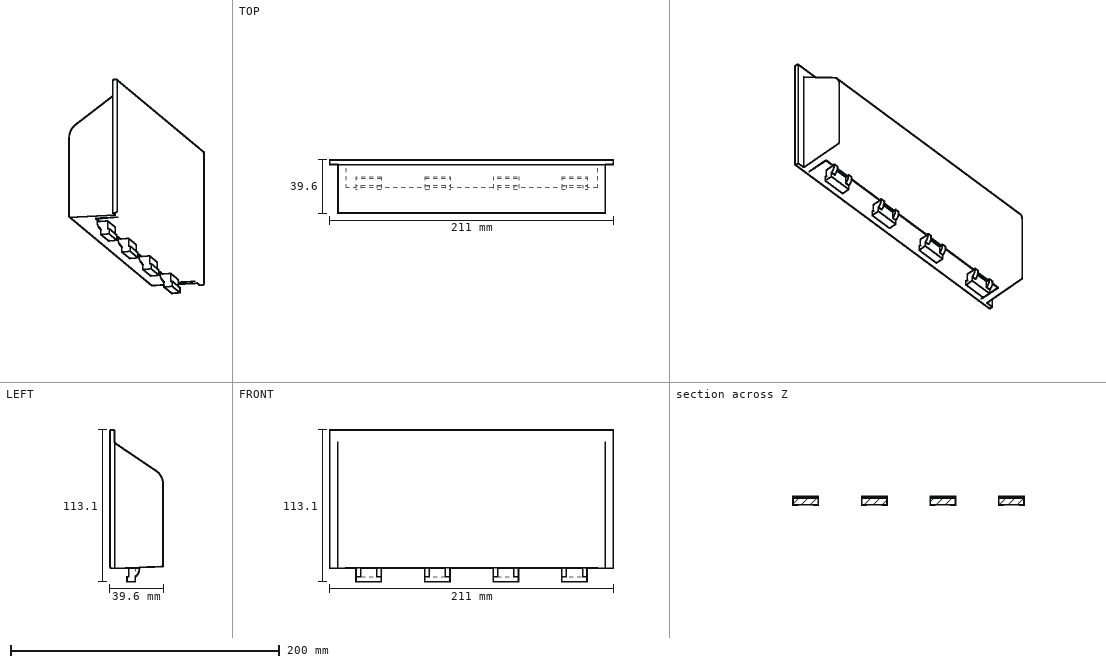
import cadquery as cq
import math


PLATE_LENGTH = 211.0
PLATE_HEIGHT = 103.0
PLATE_THICKNESS = 3.5
PLATE_EDGE_RADIUS = 1.0
PLATE_HEEL_RADIUS = 1.5

TOTAL_DEPTH = 39.6
BODY_LENGTH = 199.0
SLOPE_DROP = 9.6
SLOPE_ANGLE = 34.0
BROW_RADIUS = 12.0
ROOT_RADIUS = 1.0
BOTTOM_DRAFT = 2.0
BOTTOM_EDGE_RADIUS = 1.0

PAD_END_MARGIN = 6.0
PAD_LENGTH = BODY_LENGTH - 2 * PAD_END_MARGIN
PAD_FRONT = 20.5

HOOK_COUNT = 4
HOOK_PITCH = 51.0
HOOK_WIDTH = 19.0
HOOK_HEIGHT = 10.1
HOOK_BACK = 13.8
HOOK_FRONT = 19.0
TOE_LENGTH = 1.2
TOE_HEIGHT = 4.0
RIB_WIDTH = 3.5
RIB_RADIUS = 8.0
RIB_REACH = 3.0

OVERLAP = 1.0


def extrude_along_x(profile, length):
    """Extrude a closed YZ profile symmetrically about X = 0."""
    return profile.extrude(length / 2, both=True)


def make_plate():
    plate = cq.Workplane("XY").box(
        PLATE_LENGTH, PLATE_THICKNESS, PLATE_HEIGHT, centered=(True, False, False)
    ).translate((0, -PLATE_THICKNESS, 0))
    plate = plate.edges("|X and >Z").fillet(PLATE_EDGE_RADIUS)
    return plate.edges("|X and <Z and >Y").fillet(PLATE_HEEL_RADIUS)


def make_body():
    body_depth = TOTAL_DEPTH - PLATE_THICKNESS
    slope_start = PLATE_HEIGHT - SLOPE_DROP
    slope_end = slope_start - body_depth * math.tan(math.radians(SLOPE_ANGLE))
    front_bottom = body_depth * math.tan(math.radians(BOTTOM_DRAFT))
    profile = (
        cq.Workplane("YZ")
        .moveTo(-PLATE_THICKNESS, 0)
        .lineTo(-PLATE_THICKNESS, slope_start)
        .lineTo(-TOTAL_DEPTH, slope_end)
        .lineTo(-TOTAL_DEPTH, front_bottom)
        .close()
    )
    body = extrude_along_x(profile, BODY_LENGTH)
    body = body.faces("<Y").edges("|X and >Z").fillet(BROW_RADIUS)
    return body.faces("<Y").edges("|X and <Z").fillet(BOTTOM_EDGE_RADIUS)


def make_root_fillet():
    """Concave strip blending the top of the slope into the flange face."""
    slope = math.radians(SLOPE_ANGLE)
    corner_y = -PLATE_THICKNESS
    corner_z = PLATE_HEIGHT - SLOPE_DROP
    tangent_length = ROOT_RADIUS * math.tan((math.pi / 2 - slope) / 2)
    center_y = corner_y - ROOT_RADIUS
    center_z = corner_z + tangent_length
    mid_angle = (slope - math.pi / 2) / 2
    slope_tangent = (
        corner_y - tangent_length * math.cos(slope),
        corner_z - tangent_length * math.sin(slope),
    )
    arc_middle = (
        center_y + ROOT_RADIUS * math.cos(mid_angle),
        center_z + ROOT_RADIUS * math.sin(mid_angle),
    )
    profile = (
        cq.Workplane("YZ")
        .moveTo(corner_y, center_z)
        .threePointArc(arc_middle, slope_tangent)
        .lineTo(corner_y, corner_z)
        .close()
    )
    return extrude_along_x(profile, BODY_LENGTH)


def make_pad():
    pad_depth = PAD_FRONT - PLATE_THICKNESS
    pad_height = pad_depth * math.tan(math.radians(BOTTOM_DRAFT)) + OVERLAP
    return cq.Workplane("XY").box(
        PAD_LENGTH, pad_depth, pad_height, centered=(True, False, False)
    ).translate((0, -PAD_FRONT, 0))


def make_hook():
    toe_top = TOE_HEIGHT - HOOK_HEIGHT
    stem_profile = (
        cq.Workplane("YZ")
        .moveTo(-HOOK_BACK, OVERLAP)
        .lineTo(-HOOK_BACK, toe_top)
        .lineTo(-HOOK_BACK + TOE_LENGTH, toe_top)
        .lineTo(-HOOK_BACK + TOE_LENGTH, -HOOK_HEIGHT)
        .lineTo(-HOOK_FRONT, -HOOK_HEIGHT)
        .lineTo(-HOOK_FRONT, OVERLAP)
        .close()
    )
    hook = extrude_along_x(stem_profile, HOOK_WIDTH)

    rib_tip = -HOOK_FRONT - RIB_REACH
    arc_center_y = rib_tip + RIB_RADIUS
    arc_end_y = arc_center_y - math.sqrt(RIB_RADIUS**2 - toe_top**2)
    mid_angle = math.asin(-toe_top / RIB_RADIUS) / 2
    arc_middle = (
        arc_center_y - RIB_RADIUS * math.cos(mid_angle),
        -RIB_RADIUS * math.sin(mid_angle),
    )
    rib_profile = (
        cq.Workplane("YZ")
        .moveTo(-HOOK_BACK, OVERLAP)
        .lineTo(rib_tip, OVERLAP)
        .lineTo(rib_tip, 0)
        .threePointArc(arc_middle, (arc_end_y, toe_top))
        .lineTo(-HOOK_BACK, toe_top)
        .close()
    )
    rib = extrude_along_x(rib_profile, RIB_WIDTH)
    rib_offset = (HOOK_WIDTH - RIB_WIDTH) / 2
    for side in (-1, 1):
        hook = hook.union(rib.translate((side * rib_offset, 0, 0)))
    return hook


result = make_plate().union(make_body()).union(make_root_fillet()).union(make_pad())
hook = make_hook()
for index in range(HOOK_COUNT):
    hook_x = (index - (HOOK_COUNT - 1) / 2) * HOOK_PITCH
    result = result.union(hook.translate((hook_x, 0, 0)))